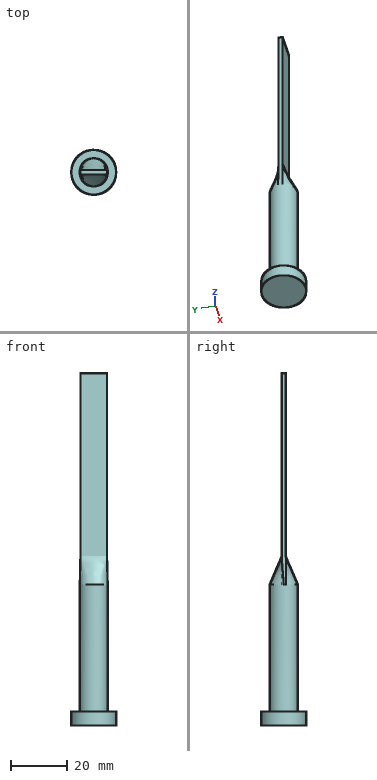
import cadquery as cq

total_length = 125
head_diameter = 16.0
head_height = 5
shank_diameter = 10
shank_top = 50
blade_bottom = 60
blade_width = 9.5
blade_thickness = 1.5


def make_head():
    return cq.Workplane("XY").circle(head_diameter / 2).extrude(head_height)


def make_shank():
    return cq.Workplane("XY").circle(shank_diameter / 2).extrude(shank_top)


def make_taper():
    """Transition from the round shank to the rectangular blade section."""
    return (
        cq.Workplane("XY", origin=(0, 0, shank_top))
        .circle(shank_diameter / 2)
        .workplane(offset=blade_bottom - shank_top)
        .rect(blade_width, blade_thickness)
        .loft(combine=True)
    )


def make_blade():
    return (
        cq.Workplane("XY", origin=(0, 0, blade_bottom))
        .rect(blade_width, blade_thickness)
        .extrude(total_length - blade_bottom)
    )


result = make_head().union(make_shank()).union(make_taper()).union(make_blade())